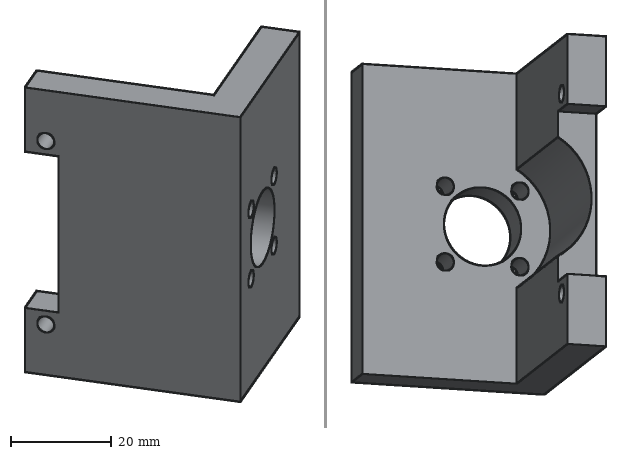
import cadquery as cq

width = 45.0
depth = 40.0
height = 63.5
thickness = 8.0

notch_depth = 7.0
notch_height = 34.8

plate_hole_diameter = 3.55
plate_hole_inset = 4.4
plate_hole_spacing = 40.9

motor_y = 15.05
motor_z = height / 2
bore_diameter = 16.0
clearance_radius = 14.05
screw_diameter = 3.55
screw_spacing = 15.5

wall_face_x = width - thickness


def cylinder_along_x(y, z, diameter, start_x, end_x):
    """Solid cylinder parallel to X between two X positions."""
    return (
        cq.Workplane("YZ", origin=(start_x, y, z))
        .circle(diameter / 2)
        .extrude(end_x - start_x)
    )


front_plate = cq.Workplane("XY").box(width, thickness, height, centered=False)
side_wall = (
    cq.Workplane("XY", origin=(wall_face_x, 0, 0))
    .box(thickness, depth, height, centered=False)
)
result = front_plate.union(side_wall)

notch = (
    cq.Workplane("XY", origin=(0, 0, (height - notch_height) / 2))
    .box(notch_depth, thickness, notch_height, centered=False)
)
result = result.cut(notch)

for side in (-1, 1):
    hole_z = height / 2 + side * plate_hole_spacing / 2
    hole = (
        cq.Workplane("XZ", origin=(plate_hole_inset, 0, hole_z))
        .circle(plate_hole_diameter / 2)
        .extrude(-thickness)
    )
    result = result.cut(hole)

result = result.cut(
    cylinder_along_x(motor_y, motor_z, 2 * clearance_radius, 0, wall_face_x)
)

result = result.cut(
    cylinder_along_x(motor_y, motor_z, bore_diameter, wall_face_x, width)
)
for y_side in (-1, 1):
    for z_side in (-1, 1):
        screw_y = motor_y + y_side * screw_spacing / 2
        screw_z = motor_z + z_side * screw_spacing / 2
        result = result.cut(
            cylinder_along_x(screw_y, screw_z, screw_diameter, wall_face_x, width)
        )